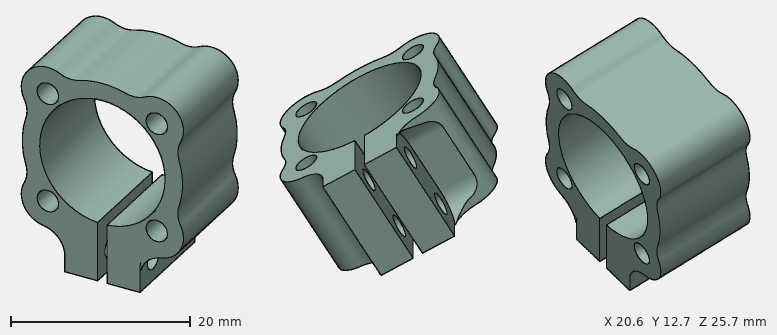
import cadquery as cq
import math


depth = 12.7
bore_diameter = 15.875
ring_radius = 10.16

lobe_offset = 6.9
lobe_radius = 3.38
lobe_hole_diameter = 2.7
blend_radius = 3.175

leg_half_width = 4.7625
leg_bottom = -15.42
slot_width = 1.2

screw_z = -12.55
screw_spacing = 6.6
screw_hole_diameter = 2.7

half_depth = depth / 2
head_radius = half_depth - screw_spacing / 2
part_reach = lobe_offset + lobe_radius


def point_toward(start, target, distance):
    """Point at the given distance from start, in the direction of target."""
    dx = target[0] - start[0]
    dz = target[1] - start[1]
    length = math.hypot(dx, dz)
    return (start[0] + dx * distance / length, start[1] + dz * distance / length)


def arc_middle(center, radius, start, end):
    """Middle of the shorter arc from start to end about center."""
    chord_middle = ((start[0] + end[0]) / 2, (start[1] + end[1]) / 2)
    return point_toward(center, chord_middle, radius)


def mirrored_in_z(point):
    return (point[0], -point[1])


def mirrored_in_diagonal(point):
    return (point[1], point[0])


def make_half_body():
    """The X >= 0 half of the outer shape, before any holes."""
    axis = (0, 0)
    lobe = (lobe_offset, lobe_offset)
    lower_lobe = mirrored_in_z(lobe)

    axis_to_lobe = math.hypot(*lobe)
    axis_to_hollow = ring_radius + blend_radius
    lobe_to_hollow = lobe_radius + blend_radius
    cosine_numerator = axis_to_lobe**2 + axis_to_hollow**2 - lobe_to_hollow**2
    cosine = cosine_numerator / (2 * axis_to_lobe * axis_to_hollow)
    hollow_angle = math.atan2(lobe[1], lobe[0]) + math.acos(cosine)
    top_hollow = (axis_to_hollow * math.cos(hollow_angle), axis_to_hollow * math.sin(hollow_angle))
    top_ring_end = point_toward(axis, top_hollow, ring_radius)
    top_lobe_end = point_toward(lobe, top_hollow, lobe_radius)

    side_hollow = mirrored_in_diagonal(top_hollow)
    side_ring_end = mirrored_in_diagonal(top_ring_end)
    side_lobe_end = mirrored_in_diagonal(top_lobe_end)
    lower_hollow = mirrored_in_z(side_hollow)
    lower_ring_end = mirrored_in_z(side_ring_end)
    lower_lobe_end = mirrored_in_z(side_lobe_end)

    fillet_x = leg_half_width + blend_radius
    fillet_drop = math.sqrt((lobe_radius + blend_radius)**2 - (fillet_x - lobe_offset)**2)
    fillet = (fillet_x, -lobe_offset - fillet_drop)
    fillet_lobe_end = point_toward(lower_lobe, fillet, lobe_radius)
    fillet_leg_end = (leg_half_width, fillet[1])

    ring_top = (0, ring_radius)
    lobe_tip = point_toward(lobe, (2 * lobe_offset, 2 * lobe_offset), lobe_radius)
    profile = (
        cq.Workplane("XZ", origin=(0, half_depth, 0))
        .moveTo(*ring_top)
        .threePointArc(arc_middle(axis, ring_radius, ring_top, top_ring_end), top_ring_end)
        .threePointArc(arc_middle(top_hollow, blend_radius, top_ring_end, top_lobe_end), top_lobe_end)
        .threePointArc(lobe_tip, side_lobe_end)
        .threePointArc(arc_middle(side_hollow, blend_radius, side_lobe_end, side_ring_end), side_ring_end)
        .threePointArc((ring_radius, 0), lower_ring_end)
        .threePointArc(arc_middle(lower_hollow, blend_radius, lower_ring_end, lower_lobe_end), lower_lobe_end)
        .threePointArc(mirrored_in_z(lobe_tip), fillet_lobe_end)
        .threePointArc(arc_middle(fillet, blend_radius, fillet_lobe_end, fillet_leg_end), fillet_leg_end)
        .lineTo(leg_half_width, leg_bottom)
        .lineTo(0, leg_bottom)
        .close()
    )
    return profile.extrude(depth)


def make_body():
    right_half = make_half_body()
    return right_half.union(right_half.mirror("YZ")).clean()


def cut_bore_and_slot(body):
    bore = cq.Workplane("XZ", origin=(0, half_depth, 0)).circle(bore_diameter / 2).extrude(depth)
    slot_height = -leg_bottom
    slot = cq.Workplane("XY").box(slot_width, depth, slot_height).translate((0, 0, leg_bottom / 2))
    return body.cut(bore).cut(slot)


def cut_lobe_holes(body):
    lobe_pitch = 2 * lobe_offset
    holes = (
        cq.Workplane("XZ", origin=(0, half_depth, 0))
        .rarray(lobe_pitch, lobe_pitch, 2, 2)
        .circle(lobe_hole_diameter / 2)
        .extrude(depth)
    )
    return body.cut(holes)


def cut_screw_holes(body):
    """Two through holes along X, crossing both legs."""
    holes = (
        cq.Workplane("YZ", origin=(-part_reach, 0, screw_z))
        .rarray(screw_spacing, 1, 2, 1)
        .circle(screw_hole_diameter / 2)
        .extrude(2 * part_reach)
    )
    return body.cut(holes)


def cut_head_pocket(body):
    """Flat seat for both screw heads, flush with the +X leg side and open downward.

    The upper corners of the pocket are rounded about the screw axes.
    """
    pocket_top = screw_z + head_radius
    pocket_height = pocket_top - leg_bottom
    pocket_reach = part_reach - leg_half_width
    pocket = (
        cq.Workplane("XY")
        .box(pocket_reach, depth, pocket_height, centered=(False, True, False))
        .edges("|X and >Z")
        .fillet(head_radius)
        .translate((leg_half_width, 0, leg_bottom))
    )
    return body.cut(pocket)


result = make_body()
result = cut_bore_and_slot(result)
result = cut_lobe_holes(result)
result = cut_screw_holes(result)
result = cut_head_pocket(result)